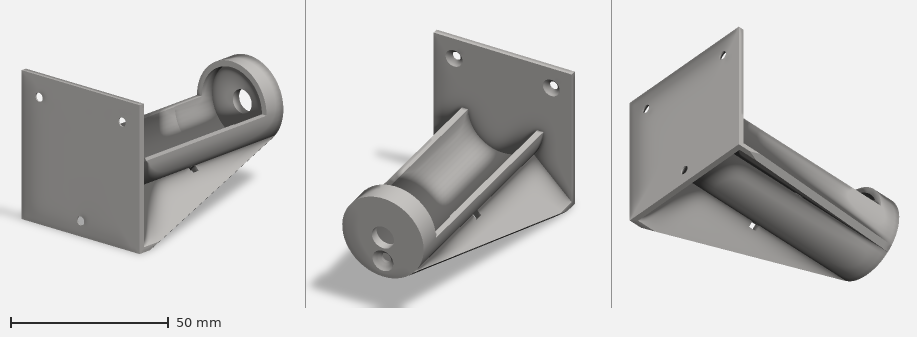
import cadquery as cq

total_length = 80.0
plate_side = 50.0
plate_thickness = 2.0

tube_diameter = 29.5
tube_radius = tube_diameter / 2
bore_diameter = 25.0
seat_diameter = 25.5
seat_start = 59.0
ring_length = 8.0
end_wall_thickness = 3.0
shaft_hole_diameter = 8.0
pin_hole_diameter = 3.5
pin_hole_drop = 8.8
pin_countersink_depth = 2.0

screw_hole_diameter = 3.0
screw_countersink_depth = 1.5
upper_hole_offset = 17.6
lower_hole_drop = 19.8
screw_hole_centers = [
    (-upper_hole_offset, upper_hole_offset),
    (upper_hole_offset, upper_hole_offset),
    (0, -lower_hole_drop),
]

rib_thickness = 2.5
rib_angle = 45
rib_root_radius = (tube_diameter + seat_diameter) / 4
rib_plate_height = 36.2
slot_center = 40.4
slot_width = 3.0
slot_depth = 2.0


def cylinder_y(diameter, start, end, x=0, z=0):
    """Cylinder parallel to Y, spanning start to end."""
    return cq.Workplane("XZ", origin=(x, start, z)).circle(diameter / 2).extrude(start - end)


def countersunk_hole(diameter, start, end, sink_depth, x=0, z=0):
    """Cutter for a hole along Y with a 90 degree countersink opening at its +Y end."""
    radius = diameter / 2
    cone = cq.Solid.makeCone(
        radius, radius + sink_depth, sink_depth, cq.Vector(x, end - sink_depth, z), cq.Vector(0, 1, 0)
    )
    return cylinder_y(diameter, start, end, x, z).union(cq.Workplane(cone))


def make_plate():
    plate = cq.Workplane("XY").box(plate_side, plate_thickness, plate_side, centered=(True, False, True))
    for x, z in screw_hole_centers:
        hole = countersunk_hole(screw_hole_diameter, 0, plate_thickness, screw_countersink_depth, x, z)
        plate = plate.cut(hole)
    return plate


def make_cradle():
    wall_face = total_length - end_wall_thickness
    cradle = cylinder_y(tube_diameter, plate_thickness, total_length)
    cradle = cradle.cut(cylinder_y(bore_diameter, plate_thickness, seat_start))
    cradle = cradle.cut(cylinder_y(seat_diameter, seat_start, wall_face))

    open_length = total_length - ring_length - plate_thickness
    opening = cq.Workplane("XY").box(tube_diameter, open_length, tube_radius, centered=(True, False, False))
    cradle = cradle.cut(opening.translate((0, plate_thickness, 0)))

    cradle = cradle.cut(cylinder_y(shaft_hole_diameter, wall_face, total_length))
    pin_hole = countersunk_hole(
        pin_hole_diameter, wall_face, total_length, pin_countersink_depth, z=-pin_hole_drop
    )
    return cradle.cut(pin_hole)


def make_rib(side):
    """Tapered, slotted rib; side is -1 for the -X corner and 1 for the +X corner."""
    rib = (
        cq.Workplane("YZ")
        .polyline([
            (plate_thickness, -rib_root_radius),
            (total_length, -rib_root_radius),
            (total_length, -tube_radius),
            (plate_thickness, -rib_plate_height),
        ])
        .close()
        .extrude(rib_thickness / 2, both=True)
    )
    slot = cq.Workplane("XY").box(rib_thickness, slot_width, slot_depth)
    rib = rib.cut(slot.translate((0, slot_center, -tube_radius - slot_depth / 2)))
    rib = rib.rotate((0, 0, 0), (0, 1, 0), -side * rib_angle)

    envelope = cq.Workplane("XY").box(plate_side, total_length, plate_side, centered=(True, False, True))
    return rib.intersect(envelope)


result = make_plate().union(make_cradle())
for side in (-1, 1):
    result = result.union(make_rib(side))